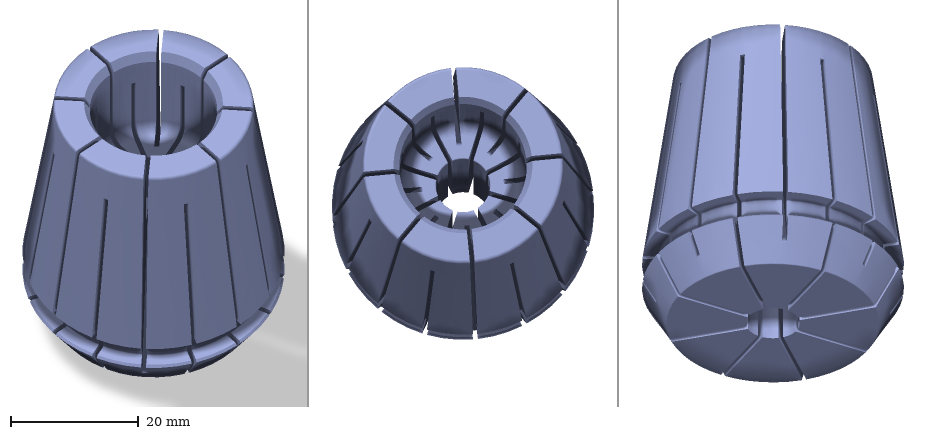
import cadquery as cq
import math

length = 46.0
max_diameter = 41.0
max_radius = max_diameter / 2
taper_angle = 8.0
taper_start = 11.1
tail_fillet = 0.5

nose_angle = 30.0
nose_height = 6.62
groove_bottom = 7.0
groove_radius = 18.12
small_fillet = 0.2
rim_step = 0.3

bore_radius = 4.25
counterbore_radius = 10.0
counterbore_floor = 28.5
floor_fillet = 2.0
mouth_radius = 10.85
mouth_angle = 30.0

slots_per_end = 8
slot_width = 0.8
nose_slot_top = 40.0
tail_slot_inner_radius = 6.4
tail_slot_end_height = 3.0

match_tolerance = 0.005


def radius_on_nose(height):
    return max_radius - (nose_height - height) * math.tan(math.radians(nose_angle))


def radius_on_taper(height):
    return max_radius - (height - taper_start) * math.tan(math.radians(taper_angle))


def make_plain_body():
    """Revolve the half section, bore and counterbore included, with every edge sharp."""
    mouth_depth = (mouth_radius - counterbore_radius) / math.tan(math.radians(mouth_angle))
    section = cq.Workplane("XZ").polyline([
        (bore_radius, 0),
        (radius_on_nose(0), 0),
        (max_radius, nose_height),
        (max_radius - rim_step, groove_bottom),
        (groove_radius, groove_bottom),
        (groove_radius, taper_start),
        (max_radius, taper_start),
        (radius_on_taper(length), length),
        (mouth_radius, length),
        (counterbore_radius, length - mouth_depth),
        (counterbore_radius, counterbore_floor),
        (bore_radius, counterbore_floor),
    ]).close()
    return section.revolve(360, (0, 0, 0), (0, 1, 0))


def round_edge(body, edge_radius, height, fillet):
    """Fillet the circular edge of the given radius and height."""
    def is_wanted(edge):
        if edge.geomType() != "CIRCLE":
            return False
        return math.hypot(edge.radius() - edge_radius, edge.Center().z - height) < match_tolerance

    return body.edges().filter(is_wanted).fillet(fillet)


def round_edges(body):
    body = round_edge(body, radius_on_taper(length), length, tail_fillet)
    body = round_edge(body, counterbore_radius, counterbore_floor, floor_fillet)
    small_edges = [
        (bore_radius, counterbore_floor),
        (groove_radius, groove_bottom),
        (groove_radius, taper_start),
        (radius_on_nose(0), 0),
    ]
    for edge_radius, height in small_edges:
        body = round_edge(body, edge_radius, height, small_fillet)
    return body


def cutter_from_outline(points):
    """Slab one slot wide, reaching out along +X from a radius-height outline."""
    return cq.Workplane("XZ").polyline(points).close().extrude(slot_width / 2, both=True)


def nose_slot_cutter():
    return cutter_from_outline([
        (0, 0),
        (max_radius, 0),
        (max_radius, nose_slot_top),
        (0, nose_slot_top),
    ])


def tail_slot_cutter():
    """Slot open at the top, its end sloping down and out to the nose cone."""
    inner = (tail_slot_inner_radius, counterbore_floor)
    outer = (radius_on_nose(tail_slot_end_height), tail_slot_end_height)
    slope = (outer[1] - inner[1]) / (outer[0] - inner[0])
    far_end = (max_radius, outer[1] + slope * (max_radius - outer[0]))
    return cutter_from_outline([
        inner,
        far_end,
        (max_radius, length),
        (tail_slot_inner_radius, length),
    ])


def cut_slots(body, cutter, first_angle):
    for index in range(slots_per_end):
        angle = first_angle + index * 360 / slots_per_end
        body = body.cut(cutter.rotate((0, 0, 0), (0, 0, 1), angle))
    return body


result = round_edges(make_plain_body())
result = cut_slots(result, nose_slot_cutter(), 0)
result = cut_slots(result, tail_slot_cutter(), 180 / slots_per_end)